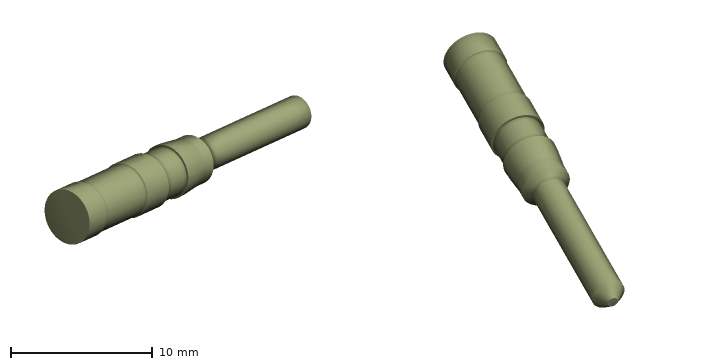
import cadquery as cq

pin_diameter = 2.5
shoulder_diameter = 3.65
neck_diameter = 3.7
barrel_diameter = 3.9
collar_diameter = 4.1
barb_middle_diameter = 3.9
barb_end_diameter = 4.05

rear_collar_end = 1.95
front_collar_start = 6.55
front_collar_end = 8.92
barb_start = 11.15
barb_middle = 12.15
barb_end = 13.27
shoulder_end = 14.23
total_length = 26.8

tip_chamfer = 0.85
barb_bulge = 0.013

pin_radius = pin_diameter / 2
shoulder_radius = shoulder_diameter / 2
neck_radius = neck_diameter / 2
barrel_radius = barrel_diameter / 2
collar_radius = collar_diameter / 2
barb_middle_radius = barb_middle_diameter / 2
barb_end_radius = barb_end_diameter / 2

collar_bevel = 0.05
pin_start = shoulder_end + shoulder_radius - pin_radius

profile = (
    cq.Workplane("XY")
    .lineTo(collar_radius, 0)
    .lineTo(collar_radius, rear_collar_end - collar_bevel)
    .lineTo(barrel_radius, rear_collar_end)
    .lineTo(barrel_radius, front_collar_start - collar_bevel)
    .lineTo(collar_radius, front_collar_start)
    .lineTo(collar_radius, front_collar_end)
    .lineTo(neck_radius, front_collar_end)
    .lineTo(neck_radius, barb_start)
    .lineTo(barb_end_radius, barb_start)
    .sagittaArc((barb_middle_radius, barb_middle), -barb_bulge)
    .sagittaArc((shoulder_radius, barb_end), -barb_bulge)
    .lineTo(shoulder_radius, shoulder_end)
    .lineTo(pin_radius, pin_start)
    .lineTo(pin_radius, total_length - tip_chamfer)
    .lineTo(pin_radius - tip_chamfer, total_length)
    .lineTo(0, total_length)
    .close()
)

result = profile.revolve(360, (0, 0, 0), (0, 1, 0))